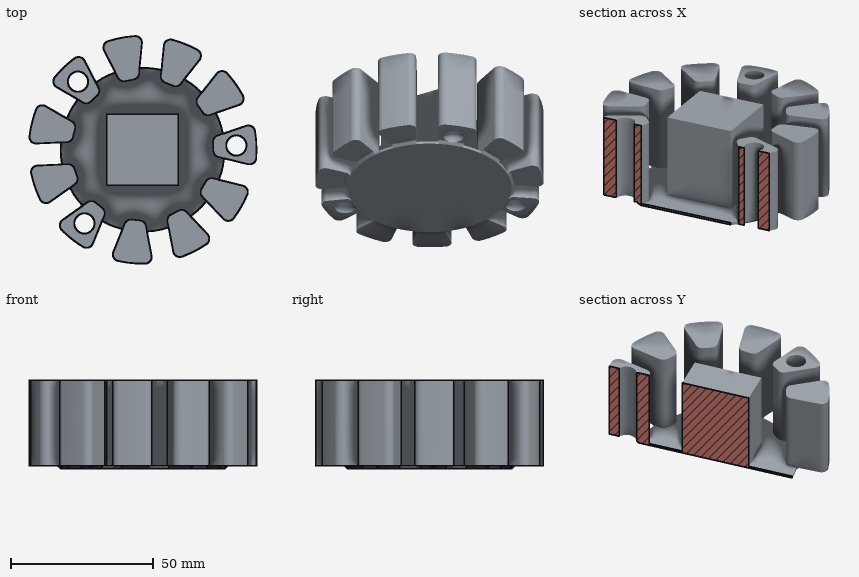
import cadquery as cq
import math

total_height = 31.0
plate_thickness = 0.95
plate_radius = 28.8
core_side = 25.0

tooth_count = 11
ring_diameter = 80.0
tooth_outer_radius = ring_diameter / 2
tooth_inner_radius = 24.8
slot_width = 7.7
tooth_corner_radius = 2.4
first_tooth_angle = 2.6
tooth_pitch = 360 / tooth_count

hole_diameter = 7.0
hole_circle_radius = 32.9
drilled_teeth = (0, 4, 7)


def tooth_half_width(distance):
    """Half width of a tooth on its centre line, at a distance from the axis."""
    half_pitch = math.radians(tooth_pitch / 2)
    return distance * math.tan(half_pitch) - slot_width / 2 / math.cos(half_pitch)


def tooth_blank():
    """Tooth on the X axis with a flat inner side, a round outer side and rounded corners."""
    inner_half_width = tooth_half_width(tooth_inner_radius)
    outer_half_width = tooth_half_width(tooth_outer_radius)
    wedge = (
        cq.Workplane("XY")
        .workplane(offset=plate_thickness)
        .moveTo(tooth_inner_radius, -inner_half_width)
        .lineTo(tooth_outer_radius, -outer_half_width)
        .lineTo(tooth_outer_radius, outer_half_width)
        .lineTo(tooth_inner_radius, inner_half_width)
        .close()
        .extrude(total_height - plate_thickness)
    )
    rim = cq.Workplane("XY").circle(tooth_outer_radius).extrude(total_height)
    return wedge.intersect(rim).edges("|Z").fillet(tooth_corner_radius)


def tooth_foot(blank):
    """45 degree chamfer between the plate edge and the underside of a tooth."""
    cone = cq.Workplane("XY").add(
        cq.Solid.makeCone(plate_radius, plate_radius + plate_thickness, plate_thickness)
    )
    return blank.translate((0, 0, -plate_thickness)).intersect(cone)


def hole_cutter():
    """Cylinder on the X axis that drills one tooth from end to end."""
    return cq.Workplane("XY").center(hole_circle_radius, 0).circle(hole_diameter / 2).extrude(total_height)


def turned_to_tooth(shape, index):
    """Turn a shape built on the X axis about Z to the place of a numbered tooth."""
    return shape.rotate((0, 0, 0), (0, 0, 1), first_tooth_angle + index * tooth_pitch)


plate = cq.Workplane("XY").circle(plate_radius).extrude(plate_thickness)
core = cq.Workplane("XY").rect(core_side, core_side).extrude(total_height)
result = plate.union(core)

blank = tooth_blank()
tooth = blank.union(tooth_foot(blank))
for index in range(tooth_count):
    result = result.union(turned_to_tooth(tooth, index))

for index in drilled_teeth:
    result = result.cut(turned_to_tooth(hole_cutter(), index))